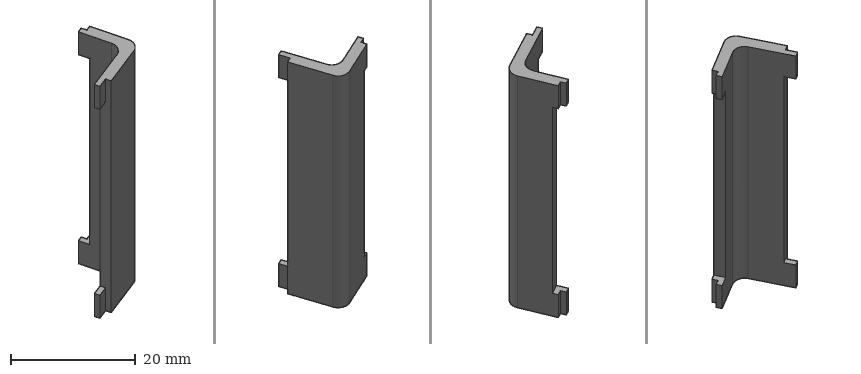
import cadquery as cq

width = 10.0
depth = 12.0
height = 50.5

wall = 2.0
inner_radius = wall
outer_radius = wall

tab_height = 5.0
tab_reach = 2.0
rabbet_depth = wall / 2
x_rabbet_width = tab_reach / 2
y_rabbet_width = tab_reach


def angle_strip():
    """Full-height angle with rounded outer and inner corners."""
    strip = (
        cq.Workplane("XY")
        .moveTo(0, depth)
        .lineTo(width, depth)
        .lineTo(width, 0)
        .lineTo(width - wall, 0)
        .lineTo(width - wall, depth - wall)
        .lineTo(0, depth - wall)
        .close()
        .extrude(height)
    )
    strip = strip.edges(">X and >Y").fillet(outer_radius)
    inner_corner = cq.selectors.NearestToPointSelector((width - wall, depth - wall, height / 2))
    return strip.edges(inner_corner).fillet(inner_radius)


def corner_box(x, y, z, size_x, size_y, size_z):
    """Box whose lowest corner is at (x, y, z)."""
    return cq.Workplane("XY").box(size_x, size_y, size_z, centered=False).translate((x, y, z))


recess_height = height - 2 * tab_height
x_leg_recess = corner_box(0, depth - wall, tab_height, tab_reach, wall, recess_height)
y_leg_recess = corner_box(width - wall, 0, tab_height, wall, tab_reach, recess_height)

x_leg_rabbet = corner_box(0, depth - rabbet_depth, 0, x_rabbet_width, rabbet_depth, height)
y_leg_rabbet = corner_box(width - rabbet_depth, 0, 0, rabbet_depth, y_rabbet_width, height)

result = angle_strip()
for cutter in (x_leg_recess, y_leg_recess, x_leg_rabbet, y_leg_rabbet):
    result = result.cut(cutter)